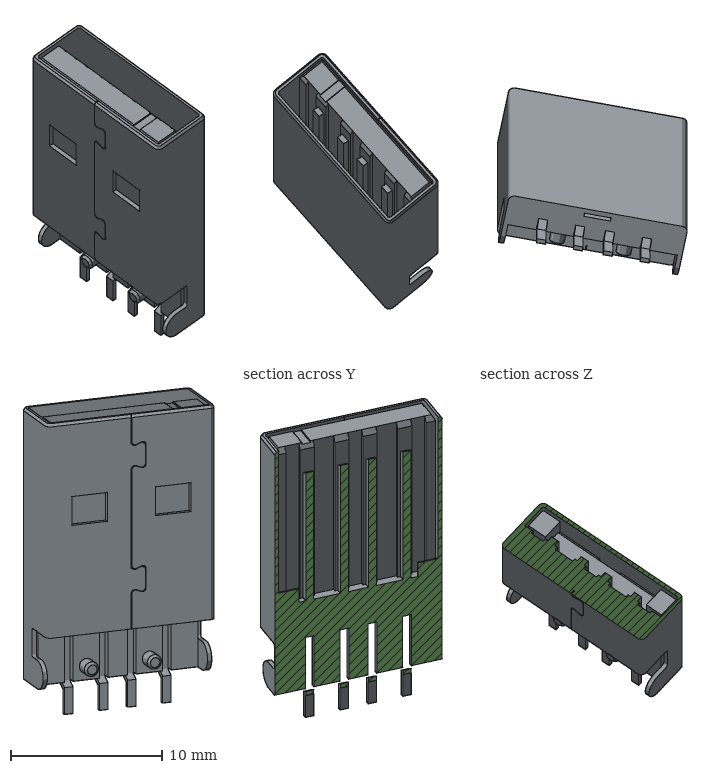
import cadquery as cq


shell_width = 12.05
shell_depth = 4.5
shell_top = 20.95
shell_bottom = 2.22
front_bottom = 6.15
wall = 0.31
corner_radius = 0.4
inner_corner_radius = 0.15
rim_run = 0.13
rim_drop = 0.19
back_inside = shell_depth - wall
half_inside = shell_width / 2 - wall
inner_width = 2 * half_inside
inner_depth = shell_depth - 2 * wall

tab_top = 4.2
tab_tip = 0.71
tab_radius = (tab_top - shell_bottom) / 2
notch_back = 2.68
notch_radius = 0.19

window_spacing = 5.97
window_width = 2.51
window_height = 2.0
window_center_z = 14.8
bump_width = 2.03
bump_height = 0.05

seam_gap = 0.05
dovetail_centers_z = (9.55, 18.12)
dovetail_length = 1.03
dovetail_neck_half = 0.59
dovetail_tip_half = 0.96
dovetail_radius = 0.25

base_front = 2.4
floor_z = 9.0
floor_chamfer = 0.23
drain_width = 1.78
post_width = 1.45
post_depth = 1.55
post_rise = 1.05
tongue_top = 20.85
tongue_back = 2.3
tongue_chamfer_run = 0.2
tongue_chamfer_drop = 0.42
recess_depth = tongue_chamfer_run
rib_width = 1.03
end_rib_width = 0.7
key_slot_depth = 0.1

pin_width = 0.6
pin_thickness = 0.3
pin_positions = (-3.5, -1.0, 1.0, 3.5)
pin_inside_front = 2.93
pin_leg_front = 2.4
leg_front_bend_z = 1.86
leg_back_bend_z = 1.68
bend_rise = 0.27
bend_inner_radius = 0.17
bend_outer_radius = 0.25
contact_back = 2.72
contact_top = 18.85
contact_tip_drop = 0.2

peg_spacing = 4.48
peg_z = 3.2
peg_diameter = 1.0
peg_tip = 1.36
peg_chamfer = 0.17


def block(x_range, y_range, z_range):
    """Axis-aligned box between the given limits."""
    sizes = [high - low for low, high in (x_range, y_range, z_range)]
    corner = (x_range[0], y_range[0], z_range[0])
    return cq.Workplane("XY").box(*sizes, centered=False).translate(corner)


def centered_block(x_center, width, y_range, z_range):
    """Box centred on x_center."""
    return block((x_center - width / 2, x_center + width / 2), y_range, z_range)


def yz_prism(outline, x_center, width):
    """Extrude a Y-Z sketch symmetrically about x_center."""
    return outline.extrude(width / 2, both=True).translate((x_center, 0, 0))


def make_tube():
    """Rounded rectangular sleeve with a chamfered outer rim."""
    height = shell_top - shell_bottom
    plane = cq.Workplane("XY", origin=(0, shell_depth / 2, shell_bottom))
    outside = plane.rect(shell_width, shell_depth).extrude(height)
    outside = outside.edges("|Z").fillet(corner_radius)
    outside = outside.faces(">Z").chamfer(rim_drop, rim_run)
    inside = plane.rect(inner_width, inner_depth).extrude(height)
    inside = inside.edges("|Z").fillet(inner_corner_radius)
    return outside.cut(inside)


def make_side_outline():
    """Side profile of the shell: notch above a round-ended tab."""
    tab_center = tab_tip + tab_radius
    outline = (
        cq.Workplane("YZ")
        .moveTo(shell_depth, shell_bottom)
        .lineTo(shell_depth, shell_top)
        .lineTo(0, shell_top)
        .lineTo(0, front_bottom)
        .lineTo(notch_back - notch_radius, front_bottom)
        .radiusArc((notch_back, front_bottom - notch_radius), notch_radius)
        .lineTo(notch_back, tab_top + notch_radius)
        .radiusArc((notch_back - notch_radius, tab_top), notch_radius)
        .lineTo(tab_center, tab_top)
        .threePointArc((tab_tip, tab_top - tab_radius), (tab_center, shell_bottom))
        .close()
    )
    return yz_prism(outline, 0, shell_width)


def make_flap(growth):
    """Seam-face half with dovetails, enlarged by growth beyond the seam."""
    edge = growth - seam_gap / 2
    panel = block((-shell_width / 2, edge), (0, wall), (shell_bottom, shell_top))
    for center_z in dovetail_centers_z:
        neck = dovetail_neck_half + growth
        tip = dovetail_tip_half + growth
        tip_x = edge + dovetail_length
        dovetail = (
            cq.Workplane("XZ")
            .polyline([(edge, -neck), (tip_x, -tip), (tip_x, tip), (edge, neck)])
            .close()
            .extrude(-wall)
            .translate((0, 0, center_z))
        )
        panel = panel.union(dovetail)
    dovetail_corners = cq.selectors.BoxSelector(
        (edge - seam_gap, 0, shell_bottom + wall),
        (edge + dovetail_length + seam_gap, wall, shell_top - wall),
    )
    return panel.edges("|Y").edges(dovetail_corners).fillet(dovetail_radius)


def make_shell():
    """Sleeve with its notch, tabs, seam, windows and inside bumps."""
    shell = make_tube().intersect(make_side_outline())
    shell = shell.cut(make_flap(seam_gap).cut(make_flap(0)))
    window_z = (window_center_z - window_height / 2, window_center_z + window_height / 2)
    for x in (-window_spacing / 2, window_spacing / 2):
        shell = shell.cut(centered_block(x, window_width, (0, wall), window_z))
        bump = centered_block(x, bump_width, (back_inside - bump_height, back_inside), window_z)
        shell = shell.union(bump)
    return shell


def make_base():
    """Block that closes the shell below the cavity and carries the pins."""
    base = block((-half_inside, half_inside), (base_front, back_inside), (shell_bottom, floor_z))
    base = base.union(block((-half_inside, half_inside), (wall, base_front), (front_bottom, floor_z)))
    base = base.edges(">Y and >Z").chamfer(floor_chamfer)
    drain_y = (back_inside - floor_chamfer, back_inside)
    drain = centered_block(0, drain_width, drain_y, (shell_bottom, floor_z))
    base = base.cut(drain)
    post_y = (back_inside - post_depth, back_inside)
    post_z = (shell_bottom, floor_z + post_rise)
    base = base.union(block((-half_inside, post_width - half_inside), post_y, post_z))
    base = base.union(block((half_inside - post_width, half_inside), post_y, post_z))
    for x in pin_positions:
        groove = centered_block(x, pin_width, (base_front, pin_inside_front), (shell_bottom, front_bottom))
        base = base.cut(groove)
    return base


def make_tongue():
    """Upright tongue against the seam face, ribbed on its back."""
    tongue = block((-half_inside, half_inside), (wall, tongue_back), (front_bottom, tongue_top))
    tongue = tongue.faces(">Z").chamfer(tongue_chamfer_drop, tongue_chamfer_run)
    recess_start = end_rib_width - half_inside
    rib_starts = [x - rib_width / 2 for x in pin_positions] + [half_inside - end_rib_width]
    for rib_start in rib_starts:
        recess_y = (tongue_back - recess_depth, tongue_back)
        tongue = tongue.cut(block((recess_start, rib_start), recess_y, (floor_z, tongue_top)))
        recess_start = rib_start + rib_width
    slot_z = (tongue_top - key_slot_depth, tongue_top)
    return tongue.cut(centered_block(pin_positions[-1], pin_width, (wall, tongue_back), slot_z))


def round_bend(pin, x, y, z, radius):
    """Round the pin edge that runs along X through the given point."""
    return pin.edges(cq.selectors.NearestToPointSelector((x, y, z))).fillet(radius)


def make_pin(x):
    """Cranked solder pin rising inside the base to a contact behind the tongue."""
    leg_back = pin_leg_front + pin_thickness
    inside_back = pin_inside_front + pin_thickness
    inside_front_bend_z = leg_front_bend_z + bend_rise
    inside_back_bend_z = leg_back_bend_z + bend_rise
    pin_top = floor_z - pin_thickness
    leg = (
        cq.Workplane("YZ")
        .moveTo(pin_leg_front, 0)
        .lineTo(leg_back, 0)
        .lineTo(leg_back, leg_back_bend_z)
        .lineTo(inside_back, inside_back_bend_z)
        .lineTo(inside_back, pin_top)
        .lineTo(pin_inside_front, pin_top)
        .lineTo(pin_inside_front, inside_front_bend_z)
        .lineTo(pin_leg_front, leg_front_bend_z)
        .close()
    )
    pin = yz_prism(leg, x, pin_width)
    pin = round_bend(pin, x, pin_inside_front, inside_front_bend_z, bend_inner_radius)
    pin = round_bend(pin, x, inside_back, inside_back_bend_z, bend_outer_radius)
    contact = (
        cq.Workplane("YZ")
        .moveTo(tongue_back, floor_z)
        .lineTo(contact_back, floor_z)
        .lineTo(contact_back, contact_top)
        .lineTo(tongue_back, contact_top - contact_tip_drop)
        .close()
    )
    return pin.union(yz_prism(contact, x, pin_width))


def make_peg(x):
    """Chamfered locating peg on the front of the base."""
    peg = (
        cq.Workplane("XZ", origin=(x, base_front, peg_z))
        .circle(peg_diameter / 2)
        .extrude(base_front - peg_tip)
    )
    return peg.faces("<Y").chamfer(peg_chamfer)


body = make_shell().union(make_base()).union(make_tongue())
for pin_x in pin_positions:
    body = body.union(make_pin(pin_x))
for peg_x in (-peg_spacing / 2, peg_spacing / 2):
    body = body.union(make_peg(peg_x))

result = cq.Workplane(body.solids().val())